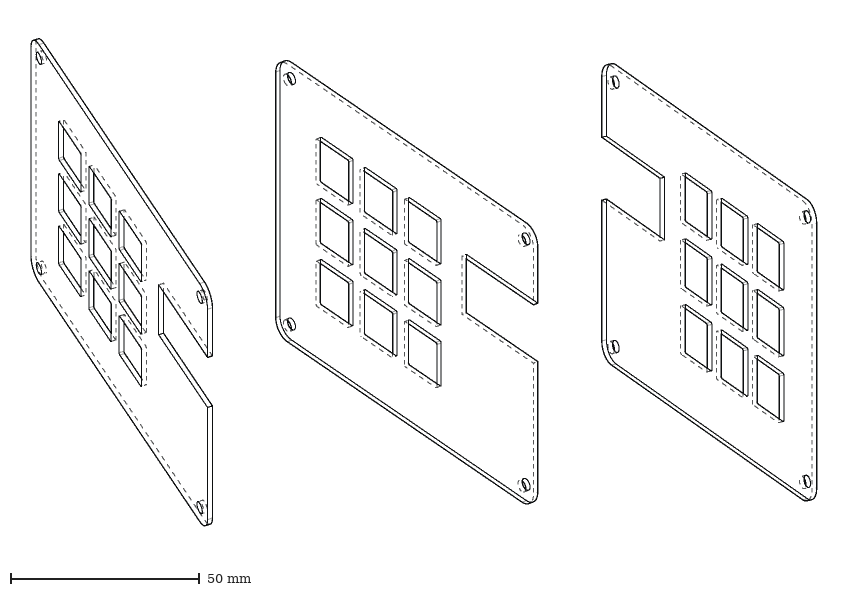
import cadquery as cq

plate_width = 111.5
plate_height = 86.6
plate_thickness = 1.5
corner_radius = 5.0

hole_diameter = 3.3

key_count = 3
key_size = 14.0
key_pitch = 19.1
key_corner_radius = 0.5
key_margin_left = 17.5
key_margin_top = 17.1

notch_depth = 30.9
notch_height = 18.2
notch_margin_top = 22.6

left_edge = -plate_width / 2
right_edge = plate_width / 2
top_edge = plate_height / 2


def block(width, height, center_x, center_z):
    """Rectangular block through the plate thickness, centered at (center_x, center_z)."""
    return (
        cq.Workplane("XZ")
        .center(center_x, center_z)
        .rect(width, height)
        .extrude(plate_thickness / 2, both=True)
    )


def make_plate():
    """Rounded plate with a mounting hole at each corner."""
    plate = block(plate_width, plate_height, 0, 0).edges("|Y").fillet(corner_radius)
    hole_spacing_x = plate_width - 2 * corner_radius
    hole_spacing_z = plate_height - 2 * corner_radius
    return (
        plate.faces("<Y")
        .workplane(centerOption="CenterOfBoundBox")
        .rect(hole_spacing_x, hole_spacing_z, forConstruction=True)
        .vertices()
        .hole(hole_diameter)
    )


def cut_key_openings(plate):
    """Cut the grid of square openings with slightly rounded corners."""
    first_x = left_edge + key_margin_left + key_size / 2
    first_z = top_edge - key_margin_top - key_size / 2
    for column in range(key_count):
        for row in range(key_count):
            center_x = first_x + column * key_pitch
            center_z = first_z - row * key_pitch
            opening = block(key_size, key_size, center_x, center_z)
            plate = plate.cut(opening.edges("|Y").fillet(key_corner_radius))
    return plate


def cut_notch(plate):
    """Cut the sharp-cornered notch in from the right edge."""
    center_x = right_edge - notch_depth / 2
    center_z = top_edge - notch_margin_top - notch_height / 2
    return plate.cut(block(notch_depth, notch_height, center_x, center_z))


result = cut_notch(cut_key_openings(make_plate()))